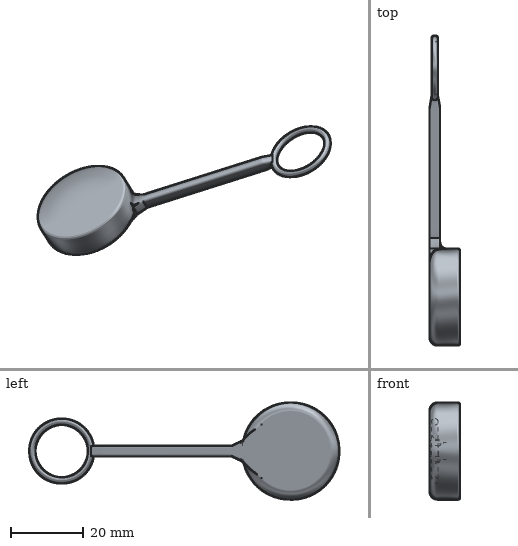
import cadquery as cq
import math

total_length = 85.95
cap_diameter = 27.0
cap_depth = 8.5
cap_face_round = 2.5
cap_rim_round = 0.8

strap_width = 3.0
strap_edge_round = 0.5
root_round = 1.55

flare_start_y = 16.3
flare_bend_y = 13.4
flare_angle = 45.0

ring_diameter = 18.05
ring_wire = 1.8
taper_start_y = 52.3
tip_thickness = 2.0

cap_radius = cap_diameter / 2
strap_half = strap_width / 2
tip_half = tip_thickness / 2
ring_radius = (ring_diameter - ring_wire) / 2
ring_center_y = total_length - cap_radius - ring_diameter / 2
strap_end_y = ring_center_y - ring_radius


def make_cap():
    cap = cq.Workplane("YZ").circle(cap_radius).extrude(cap_depth)
    cap = cap.faces("<X").edges().fillet(cap_face_round)
    return cap.faces(">X").edges().fillet(cap_rim_round)


def strap_outline():
    """Strap and flare in the YZ plane; the flare is tangent to a circle one edge round outside the flat face."""
    tangent_radius = cap_radius - cap_face_round + strap_edge_round
    angle = math.radians(flare_angle)
    tangent_y = tangent_radius * math.cos(angle)
    tangent_z = tangent_radius * math.sin(angle)
    bend_z = tangent_z - (flare_bend_y - tangent_y) / math.tan(angle)
    upper = [
        (strap_end_y, strap_half),
        (flare_start_y, strap_half),
        (flare_bend_y, bend_z),
        (tangent_y, tangent_z),
    ]
    lower = [(y, -z) for y, z in reversed(upper)]
    return cq.Workplane("YZ").polyline(upper + lower).close()


def make_strap():
    plate = strap_outline().extrude(strap_width)
    side_profile = (
        cq.Workplane("XY")
        .moveTo(0, 0)
        .lineTo(strap_width, 0)
        .lineTo(strap_width, taper_start_y)
        .lineTo(strap_half + tip_half, strap_end_y)
        .lineTo(strap_half - tip_half, strap_end_y)
        .lineTo(0, taper_start_y)
        .close()
        .extrude(cap_radius, both=True)
    )
    plate = plate.intersect(side_profile)
    return plate.edges("not(#Y)").fillet(strap_edge_round)


def make_root_round():
    """Concave round between the back of the strap and the cap wall, following the cap's circle."""
    center_x = strap_width + root_round
    center_r = cap_radius + root_round
    reach = root_round * math.sqrt(0.5)
    sunk_x = strap_half
    sunk_r = cap_radius - cap_rim_round
    round_ring = (
        cq.Workplane("XY")
        .moveTo(sunk_x, sunk_r)
        .lineTo(center_x, sunk_r)
        .lineTo(center_x, cap_radius)
        .threePointArc((center_x - reach, center_r - reach), (strap_width, center_r))
        .lineTo(sunk_x, center_r)
        .close()
        .revolve(360, (0, 0, 0), (1, 0, 0))
    )
    flare = strap_outline().offset2D(-strap_edge_round).extrude(center_x)
    return round_ring.intersect(flare)


def make_ring():
    torus = cq.Solid.makeTorus(
        ring_radius,
        ring_wire / 2,
        cq.Vector(strap_half, ring_center_y, 0),
        cq.Vector(1, 0, 0),
    )
    return cq.Workplane(torus)


result = make_cap().union(make_strap()).union(make_root_round()).union(make_ring())